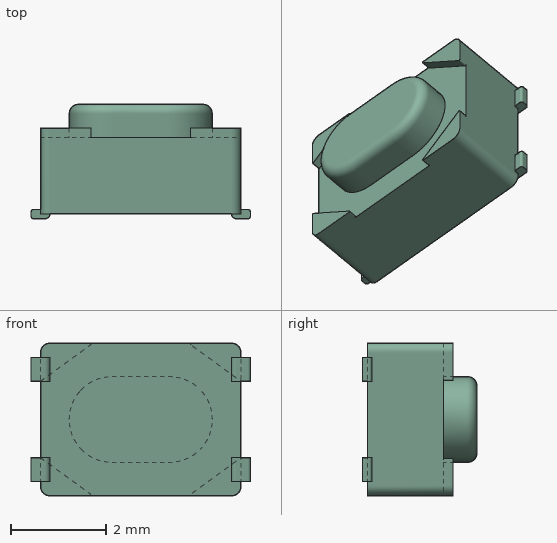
import cadquery as cq
overall_length = 4.6
overall_depth = 2.4
body_width = 3.2
body_length = 4.2
foot_drop = 0.1
button_rise = 0.5

body_depth = overall_depth - foot_drop - button_rise
body_corner_radius = 0.2
post_height = 0.2
floor_y = body_depth - post_height

long_side_gap = 2.0
short_side_gap = 1.6
post_tip_radius = 0.02

button_length = 3.0
button_width = 1.8
button_edge_radius = 0.2

foot_overhang = (overall_length - body_length) / 2
foot_length = 2 * foot_overhang
foot_thickness = 0.2
foot_width = 0.5
foot_end_margin = 0.3
foot_outer_radius = 0.05
foot_inner_radius = foot_drop


def make_block():
    """Solid block up to the floor that the button and the corner posts stand on."""
    block = cq.Workplane("ZX").rect(body_width, body_length).extrude(floor_y)
    return block.edges("|Y").fillet(body_corner_radius)


def make_posts():
    """Four triangular corner posts, mirrored from the one at +X and +Z."""
    corner = (body_width / 2, body_length / 2)
    long_side_tip = (body_width / 2, long_side_gap / 2)
    short_side_tip = (short_side_gap / 2, body_length / 2)
    post = cq.Workplane("ZX", origin=(0, floor_y, 0)).polyline([corner, long_side_tip, short_side_tip])
    post = post.close().extrude(post_height)
    post = post.edges("|Y and >X and >Z").fillet(body_corner_radius)
    for tip in ("|Y and <X", "|Y and <Z"):
        post = post.edges(tip).fillet(post_tip_radius)
    pair = post.union(post.mirror("YZ"))
    return pair.union(pair.mirror("XY"))


def make_button():
    """Stadium-shaped button standing on the floor between the posts."""
    floor = cq.Workplane("ZX", origin=(0, floor_y, 0))
    button = floor.slot2D(button_length, button_width, 90).extrude(post_height + button_rise)
    return button.faces(">Y").edges().fillet(button_edge_radius)


def make_foot(side, end):
    """Foot at the short side given by the sign of X and the end given by the sign of Z."""
    center_x = side * (overall_length - foot_length) / 2
    center_y = foot_thickness / 2 - foot_drop
    center_z = end * ((body_width - foot_width) / 2 - foot_end_margin)
    foot = cq.Workplane("XY").box(foot_length, foot_thickness, foot_width)
    outer_face, inner_face = (">X", "<X") if side > 0 else ("<X", ">X")
    foot = foot.faces(outer_face).edges("|Z").fillet(foot_outer_radius)
    foot = foot.faces(inner_face).edges("|Z and <Y").fillet(foot_inner_radius)
    return foot.translate((center_x, center_y, center_z))


result = make_block().union(make_posts()).union(make_button())
for side in (-1, 1):
    for end in (-1, 1):
        result = result.union(make_foot(side, end))